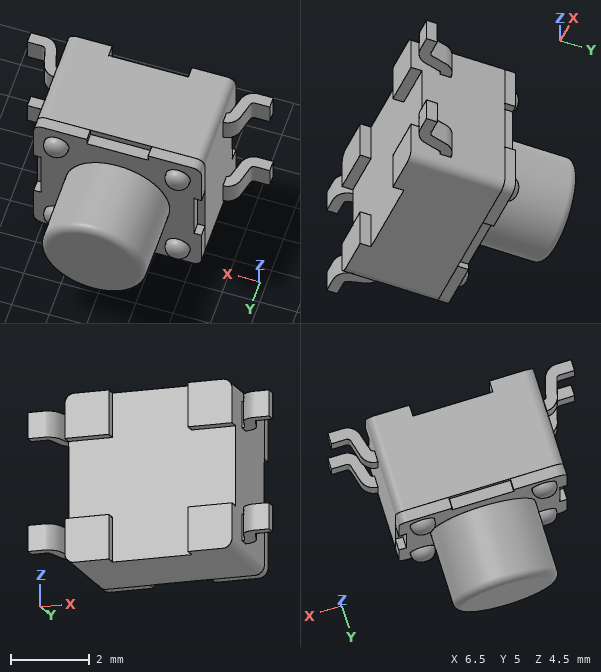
import cadquery as cq
import math


body_width = 4.5
half_width = body_width / 2
corner_radius = 0.25
housing_top = 2.6
foot_height = 0.3
foot_gap = 2.13

cover_thickness = 0.3
cover_top = housing_top + cover_thickness
notch_width = 1.64
notch_depth = 0.2
stud_diameter = 0.65
stud_height = 0.3
stud_round = 0.25
stud_spacing = 3.25

button_diameter = 2.8
button_top = 5.0
button_round = 0.2

lead_span = 6.5
lead_thickness = 0.3
lead_width = 0.7
lead_pitch = 3.0
lead_top = 1.1
inner_bend = 0.1
outer_bend = inner_bend + lead_thickness
bend_angle = math.radians(75)


def plane_at(height):
    """Sketch plane facing +Y at the given height; its local axes are X and -Z."""
    return cq.Workplane(cq.Plane(origin=(0, height, 0), xDir=(1, 0, 0), normal=(0, 1, 0)))


def rounded_block(bottom, height):
    """Square block with rounded corners, rising along +Y from the given height."""
    block = plane_at(bottom).rect(body_width, body_width).extrude(height)
    return block.edges("|Y").fillet(corner_radius)


def make_housing():
    """Block with crossed channels underneath, leaving one foot at each corner."""
    channels = (
        plane_at(0).rect(foot_gap, body_width).extrude(foot_height)
        .union(plane_at(0).rect(body_width, foot_gap).extrude(foot_height))
    )
    return rounded_block(0, housing_top).cut(channels).solids()


def make_cover():
    """Plate with a shallow notch in the middle of each side and four domed studs."""
    notches = (
        plane_at(housing_top)
        .polarArray(half_width, 0, 360, 4)
        .rect(2 * notch_depth, notch_width)
        .extrude(cover_thickness)
    )
    studs = (
        plane_at(cover_top)
        .rect(stud_spacing, stud_spacing, forConstruction=True)
        .vertices()
        .circle(stud_diameter / 2)
        .extrude(stud_height)
        .faces(">Y").edges().fillet(stud_round)
    )
    return rounded_block(housing_top, cover_thickness).cut(notches).union(studs).solids()


def make_button():
    """Round plunger with a rounded top edge, standing on the cover."""
    button = plane_at(cover_top).circle(button_diameter / 2).extrude(button_top - cover_top)
    return button.faces(">Y").edges().fillet(button_round)


def make_lead(side, z_center):
    """Gull-wing lead leaving the housing side (+1 or -1 along X) and bending down to Y = 0."""
    upper_x = half_width
    upper_y = lead_top - outer_bend
    lower_y = outer_bend
    bend_gap = inner_bend + outer_bend
    sin_bend = math.sin(bend_angle)
    cos_bend = math.cos(bend_angle)
    slope_run = (upper_y - lower_y + bend_gap * cos_bend) / math.tan(bend_angle)
    lower_x = upper_x + bend_gap * sin_bend + slope_run
    foot_end = lead_span / 2

    def upper_point(radius, angle):
        """Point on the upper bend, with the angle measured from straight up."""
        return (side * (upper_x + radius * math.sin(angle)), upper_y + radius * math.cos(angle))

    def lower_point(radius, angle):
        """Point on the lower bend, with the angle measured from straight down."""
        return (side * (lower_x - radius * math.sin(angle)), lower_y - radius * math.cos(angle))

    half_bend = bend_angle / 2
    return (
        cq.Workplane("XY", origin=(0, 0, z_center - lead_width / 2))
        .moveTo(*upper_point(outer_bend, 0))
        .threePointArc(upper_point(outer_bend, half_bend), upper_point(outer_bend, bend_angle))
        .lineTo(*lower_point(inner_bend, bend_angle))
        .threePointArc(lower_point(inner_bend, half_bend), lower_point(inner_bend, 0))
        .lineTo(side * foot_end, lead_thickness)
        .lineTo(side * foot_end, 0)
        .lineTo(*lower_point(outer_bend, 0))
        .threePointArc(lower_point(outer_bend, half_bend), lower_point(outer_bend, bend_angle))
        .lineTo(*upper_point(inner_bend, bend_angle))
        .threePointArc(upper_point(inner_bend, half_bend), upper_point(inner_bend, 0))
        .close()
        .extrude(lead_width)
    )


housing = make_housing()
cover = make_cover()
button = make_button()
leads = [
    make_lead(side, z_center)
    for side in (-1, 1)
    for z_center in (-lead_pitch / 2, lead_pitch / 2)
]

result = cq.Compound.makeCompound(
    [housing.val(), cover.val(), button.val(), *[lead.val() for lead in leads]]
)